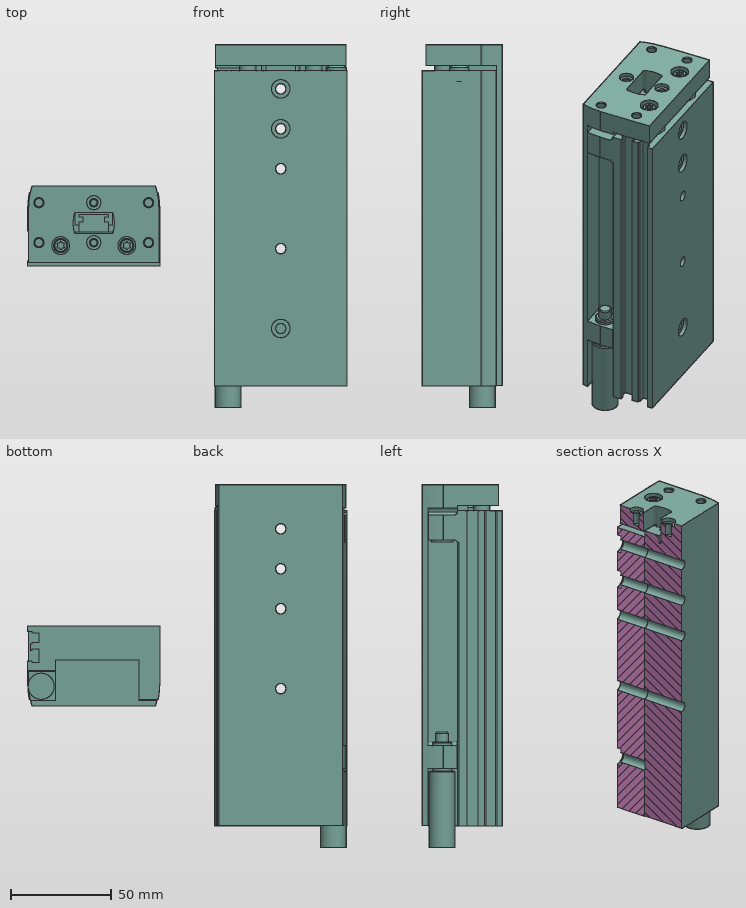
import cadquery as cq
import math


overall_length = 180.8
absorber_overhang = 10.7
top_z = overall_length - absorber_overhang
overall_depth = 40.0

housing_width = 66.0
housing_top = top_z - 13.0
ledge_y = 22.2
housing_back = 36.7
core_left = -19.0
core_right = 22.5
core_front = 17.0
ledge_chamfer = 0.5
rib_setback = 1.5
front_slot_y = (2.7, 8.9)
front_slot_mouth_depth = 2.2
front_slot_shoulder = 0.7
back_slot_y = (12.1, 17.5)
back_slot_lip = 2.4
back_slot_undercut = 0.7
slot_depth = 5.8

flank_start_y = 29.8
flank_setback = 1.8
flank_facet_length = 0.5
flank_facet_setback = 0.2

stop_bottom = top_z - 27.5
stop_top = top_z - 15.2
stop_fillet = 1.6
stop_corner = 1.3
bracket_bottom = top_z - 141.5
bracket_top = top_z - 130.0
bracket_fillet = 2.2
bracket_clearance = 0.4
pad_diameter = 10.9
pad_height = 1.0

slide_width = 65.1
slide_bottom = 0.4
back_plate_front = 37.0
end_plate_front = 1.8
end_plate_thickness = 10.5
end_plate_bottom = top_z - end_plate_thickness
step_drop = 1.0
step_fillet = 2.0

window_front = 16.3
window_back = 26.8
window_end_x = 9.4
window_bulge = 0.9
window_corner = 0.9
rail_half_width = 7.2
rail_back = 25.9
rail_height = 3.3
rail_groove_front = 22.0
rail_groove_back = 24.6
rail_groove_depth = 1.8
rail_bed_front = 20.6
rail_bed_depth = 0.9

hole_pitch = 19.9
mount_first_z = top_z - 22.0
mount_hole = 5.0
through_hole_steps = (0, 1, 2, 4)
blind_hole_steps = (6,)
counterbored_steps = (0, 1, 6)
mount_counterbore = 9.2
mount_counterbore_depth = 2.0
thread_x = 27.3
thread_front_y = 11.8
thread_back_y = thread_front_y + hole_pitch
thread_hole = 4.2
thread_mouth = 5.0
thread_depth = 8.1
middle_hole = 3.3
middle_mouth = 4.2
middle_counterbore = 7.0
middle_counterbore_depth = 2.0

rod_x = 16.5
rod_y = 10.3
rod_diameter = 8.1
rod_bottom = 18.0
rod_recess_diameter = 16.0
rod_recess_depth = 0.7
screw_shank = 4.9
screw_head = 7.0
screw_seat = 8.9
screw_seat_depth = 4.5
screw_head_top = top_z - 1.0
screw_head_chamfer = 0.5
socket_outer_radius = 2.2
socket_inner_radius = 1.5
socket_points = 6
socket_depth = 2.7

absorber_x = -26.2
absorber_y = 30.0
absorber_diameter = 13.0
absorber_neck = 9.8
absorber_body_top = top_z - 142.7
absorber_neck_top = top_z - 128.2
absorber_tip = 6.3
absorber_tip_top = top_z - 123.3
absorber_chamfer = 0.5

end_stop_x = 27.9
end_stop_y = 18.5
end_stop_diameter = 9.5
end_stop_chamfer = 0.9
end_stop_seat_depth = 5.5


def box(x0, x1, y0, y1, z0, z1):
    return cq.Workplane("XY").box(x1 - x0, y1 - y0, z1 - z0, centered=False).translate((x0, y0, z0))


def cylinder(diameter, x, y, z0, z1):
    return cq.Workplane("XY", origin=(x, y, z0)).circle(diameter / 2).extrude(z1 - z0)


def cross_hole(diameter, z, depth):
    """A cylinder along +Y on the middle plane, starting at the mounting face."""
    return cq.Workplane("XZ", origin=(0, 0, z)).circle(diameter / 2).extrude(-depth)


def flank_prism(width, y0, y1, z0, z1):
    """A prism between y0 and y1, with side faces that curve inwards towards the moving face."""
    side = width / 2
    arc_x = side - flank_facet_setback
    back_x = side - flank_setback
    rise = overall_depth - flank_start_y
    sag = arc_x - back_x
    radius = (rise**2 + sag**2) / (2 * sag)
    mid_y = flank_start_y + rise / 2
    mid_x = arc_x - radius + math.sqrt(radius**2 - (rise / 2) ** 2)
    facet_y = flank_start_y - flank_facet_length
    prism = (
        cq.Workplane("XY", origin=(0, 0, z0))
        .moveTo(-side, 0)
        .lineTo(side, 0)
        .lineTo(side, facet_y)
        .lineTo(arc_x, flank_start_y)
        .threePointArc((mid_x, mid_y), (back_x, overall_depth))
        .lineTo(-back_x, overall_depth)
        .threePointArc((-mid_x, mid_y), (-arc_x, flank_start_y))
        .lineTo(-side, facet_y)
        .close()
        .extrude(z1 - z0)
    )
    return prism.intersect(box(-side, side, y0, y1, z0, z1))


def side_block(width, y0, y1, z0, z1):
    """A block on the -X side, from the slide core out to the rounded flank."""
    block = flank_prism(width, y0, y1, z0, z1)
    return block.intersect(box(-width / 2, core_left, y0, y1, z0, z1))


def core_fillet(radius, y0, y1, z, direction):
    """A concave fillet between a level face at z and the -X side of the slide core."""
    middle = radius * (1 - math.sqrt(0.5))
    return (
        cq.Workplane("XZ", origin=(0, y0, 0))
        .moveTo(core_left, z)
        .lineTo(core_left - radius, z)
        .threePointArc((core_left - middle, z + direction * middle), (core_left, z + direction * radius))
        .close()
        .extrude(y0 - y1)
    )


def stop_block():
    """The upper stop block, filleted at the slide core, with gussets to the ledge and a stop pad."""
    block = side_block(housing_width, ledge_y, housing_back, stop_bottom, stop_top)
    block = block.union(core_fillet(stop_fillet, ledge_y, housing_back, stop_top, 1))
    block = block.union(corner_gusset(stop_bottom, -1))
    block = block.union(corner_gusset(stop_top, 1))
    return block.union(cylinder(pad_diameter, absorber_x, absorber_y, stop_bottom - pad_height, stop_bottom))


def corner_gusset(z, direction):
    """A triangular fill between the stop block and the ledge."""
    return (
        cq.Workplane("YZ", origin=(-housing_width / 2, 0, 0))
        .moveTo(ledge_y, z)
        .lineTo(ledge_y + stop_corner, z)
        .lineTo(ledge_y, z + direction * stop_corner)
        .close()
        .extrude(core_left + housing_width / 2)
    )


def cut_sensor_slots(body):
    """Two lengthwise slots in the -X side, with a set-back rib between them."""
    outer_x = -housing_width / 2
    floor_x = outer_x + slot_depth
    y0, y1 = front_slot_y
    shoulder = front_slot_shoulder
    body = body.cut(box(outer_x, outer_x + front_slot_mouth_depth, y0, y1, 0, housing_top))
    body = body.cut(box(outer_x, floor_x, y0 + shoulder, y1 - shoulder, 0, housing_top))
    y2, y3 = back_slot_y
    undercut = back_slot_undercut
    body = body.cut(box(outer_x, floor_x, y2, y3, 0, housing_top))
    body = body.cut(box(outer_x + back_slot_lip, floor_x, y2 - undercut, y3 + undercut, 0, housing_top))
    return body.cut(box(outer_x, outer_x + rib_setback, y1, y2, 0, housing_top))


def ledge_edge():
    """The chamfer along the outer edge of the ledge, below the stop block."""
    outer_x = -housing_width / 2
    return (
        cq.Workplane("XY")
        .moveTo(outer_x, ledge_y)
        .lineTo(outer_x + ledge_chamfer, ledge_y)
        .lineTo(outer_x, ledge_y - ledge_chamfer)
        .close()
        .extrude(stop_bottom - stop_corner)
    )


def end_window(z0, z1):
    """The window with bowed ends and rounded corners."""
    mid_y = (window_front + window_back) / 2
    return (
        cq.Workplane("XY", origin=(0, 0, z0))
        .moveTo(-window_end_x, window_front)
        .lineTo(window_end_x, window_front)
        .threePointArc((window_end_x + window_bulge, mid_y), (window_end_x, window_back))
        .lineTo(-window_end_x, window_back)
        .threePointArc((-window_end_x - window_bulge, mid_y), (-window_end_x, window_front))
        .close()
        .extrude(z1 - z0)
        .edges("|Z")
        .fillet(window_corner)
    )


def guide_rail(z0, z1):
    """The end of the guide rail, with a ball groove along each side."""
    rail = box(-rail_half_width, rail_half_width, core_front, rail_back, z0, z1)
    groove_floor = rail_half_width - rail_groove_depth
    for x in (-rail_half_width, groove_floor):
        rail = rail.cut(box(x, x + rail_groove_depth, rail_groove_front, rail_groove_back, z0, z1))
    return rail


def countersunk_hole(diameter, mouth, x, y, z0, z1):
    """A hole from z0 up to z1, widened by a 45 degree countersink at its top."""
    depth = (mouth - diameter) / 2
    cone = cq.Workplane("XY", origin=(x, y, z1)).circle(mouth / 2).extrude(-depth, taper=45)
    return cylinder(diameter, x, y, z0, z1).union(cone)


def make_housing():
    side = housing_width / 2
    body = flank_prism(housing_width, 0, housing_back, 0, housing_top)
    body = body.cut(box(core_left, core_right, core_front, overall_depth, 0, housing_top))
    body = body.cut(box(-side, core_left, ledge_y, overall_depth, 0, housing_top))
    body = body.cut(ledge_edge())
    body = body.union(stop_block())
    body = cut_sensor_slots(body)
    recess_bottom = housing_top - rod_recess_depth
    for x in (-rod_x, rod_x):
        body = body.cut(cylinder(rod_recess_diameter, x, rod_y, recess_bottom, housing_top))
        body = body.cut(cylinder(rod_diameter, x, rod_y, rod_bottom, housing_top))
    seat_bottom = housing_top - end_stop_seat_depth
    body = body.cut(cylinder(end_stop_diameter, end_stop_x, end_stop_y, seat_bottom, housing_top))
    for step in through_hole_steps + blind_hole_steps:
        body = body.cut(cross_hole(mount_hole, mount_first_z - step * hole_pitch, overall_depth))
    for step in counterbored_steps:
        z = mount_first_z - step * hole_pitch
        body = body.cut(cross_hole(mount_counterbore, z, mount_counterbore_depth))
    return body


def make_bracket():
    """The lower bracket of the slide, bored for the shock absorber."""
    y0 = ledge_y + bracket_clearance
    bracket = side_block(slide_width, y0, back_plate_front, bracket_bottom, bracket_top)
    bracket = bracket.union(core_fillet(bracket_fillet, y0, back_plate_front, bracket_top, 1))
    bore_top = bracket_top + bracket_fillet
    return bracket.cut(cylinder(absorber_neck, absorber_x, absorber_y, bracket_bottom, bore_top))


def make_end_plate():
    """The end plate, thicker beside the core on the -X side."""
    step_bottom = end_plate_bottom - step_drop
    plate = flank_prism(slide_width, end_plate_front, overall_depth, end_plate_bottom, top_z)
    plate = plate.union(side_block(slide_width, ledge_y, overall_depth, step_bottom, end_plate_bottom))
    return plate.union(core_fillet(step_fillet, ledge_y, back_plate_front, step_bottom, -1))


def cut_end_plate_holes(slide):
    bottom = top_z - thread_depth
    seat = top_z - middle_counterbore_depth
    for y in (thread_front_y, thread_back_y):
        for x in (-thread_x, thread_x):
            slide = slide.cut(countersunk_hole(thread_hole, thread_mouth, x, y, bottom, top_z))
        slide = slide.cut(countersunk_hole(middle_hole, middle_mouth, 0, y, bottom, seat))
        slide = slide.cut(cylinder(middle_counterbore, 0, y, seat, top_z))
    for x in (-rod_x, rod_x):
        slide = slide.cut(cylinder(screw_shank, x, rod_y, end_plate_bottom, top_z))
        slide = slide.cut(cylinder(screw_seat, x, rod_y, top_z - screw_seat_depth, top_z))
    return slide


def make_slide():
    slide = make_end_plate()
    slide = slide.union(flank_prism(slide_width, back_plate_front, overall_depth, slide_bottom, top_z))
    slide = slide.union(
        box(core_left, core_right, core_front, back_plate_front, slide_bottom, end_plate_bottom)
    )
    slide = slide.union(make_bracket())
    bed_bottom = housing_top - rail_bed_depth
    slide = slide.cut(end_window(housing_top, top_z))
    slide = slide.cut(
        box(-window_end_x, window_end_x, rail_bed_front, window_back, bed_bottom, housing_top)
    )
    slide = slide.union(guide_rail(bed_bottom, housing_top + rail_height))
    slide = cut_end_plate_holes(slide)
    for step in through_hole_steps:
        slide = slide.cut(cross_hole(mount_hole, mount_first_z - step * hole_pitch, overall_depth))
    return slide


def screw_socket(x):
    """A six-pointed star recess in a screw head."""
    points = []
    for index in range(2 * socket_points):
        angle = math.pi / 2 + index * math.pi / socket_points
        radius = socket_inner_radius if index % 2 else socket_outer_radius
        points.append((radius * math.cos(angle), radius * math.sin(angle)))
    base = cq.Workplane("XY", origin=(x, rod_y, screw_head_top))
    return base.polyline(points).close().extrude(-socket_depth)


def make_piston_rod(x):
    """A piston rod with its screw end, which clamps the end plate."""
    seat = top_z - screw_seat_depth
    rod = cylinder(rod_diameter, x, rod_y, rod_bottom, end_plate_bottom)
    shank = cylinder(screw_shank, x, rod_y, end_plate_bottom, seat)
    head = cylinder(screw_head, x, rod_y, seat, screw_head_top)
    head = head.faces(">Z").edges().chamfer(screw_head_chamfer)
    return rod.union(shank).union(head).cut(screw_socket(x))


def make_absorber():
    body = cylinder(absorber_diameter, absorber_x, absorber_y, -absorber_overhang, absorber_body_top)
    body = body.faces(">Z").edges().chamfer(absorber_chamfer)
    neck = cylinder(absorber_neck, absorber_x, absorber_y, absorber_body_top, absorber_neck_top)
    neck = neck.faces(">Z").edges().chamfer(absorber_chamfer)
    tip = cylinder(absorber_tip, absorber_x, absorber_y, absorber_neck_top, absorber_tip_top)
    tip = tip.faces(">Z").edges().chamfer(absorber_chamfer)
    return body.union(neck).union(tip)


def make_end_stop():
    seat_bottom = housing_top - end_stop_seat_depth
    stop = cylinder(end_stop_diameter, end_stop_x, end_stop_y, seat_bottom, end_plate_bottom)
    return stop.faces(">Z").edges().chamfer(end_stop_chamfer)


housing = make_housing()
slide = make_slide()
piston_rods = [make_piston_rod(x) for x in (-rod_x, rod_x)]
absorber = make_absorber()
end_stop = make_end_stop()

result = cq.Compound.makeCompound(
    [housing.val(), slide.val(), absorber.val(), end_stop.val(), *[rod.val() for rod in piston_rods]]
)